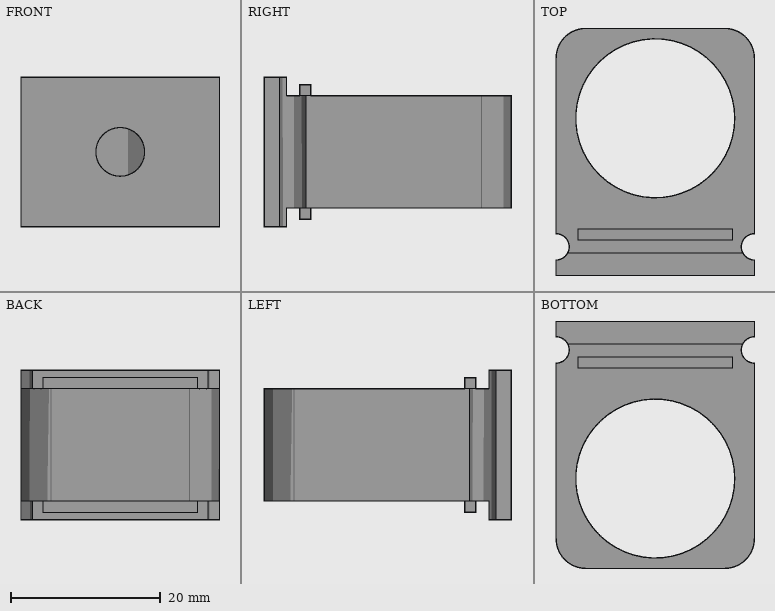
import cadquery as cq

width = 26.5
length = 33.0
plate_height = 20.0
plate_thickness = 3.0
body_height = 15.0
corner_radius = 4.0

bore_diameter = 21.2
bore_center_y = 21.0
screw_hole_diameter = 6.5

groove_radius = 1.75
groove_center_y = 3.83

rib_width = 20.6
rib_height = 18.0
rib_thickness = 1.5
rib_front_y = 4.75


def block(size_x, size_z, front_y, back_y):
    """Box centred on X and Z, spanning the given Y range."""
    depth = back_y - front_y
    return cq.Workplane("XY").box(size_x, depth, size_z).translate((0, front_y + depth / 2, 0))


def upright_cylinder(x, y, radius):
    """Cutter along Z that spans the full plate height."""
    return (
        cq.Workplane("XY", origin=(x, y, -plate_height / 2))
        .circle(radius)
        .extrude(plate_height)
    )


body = block(width, body_height, 0, length).edges("|Z and >Y").fillet(corner_radius)
plate = block(width, plate_height, 0, plate_thickness)
rib = block(rib_width, rib_height, rib_front_y, rib_front_y + rib_thickness)
holder = body.union(plate).union(rib)

holder = holder.cut(upright_cylinder(0, bore_center_y, bore_diameter / 2))

for side_x in (-width / 2, width / 2):
    holder = holder.cut(upright_cylinder(side_x, groove_center_y, groove_radius))

screw_hole = (
    cq.Workplane("XZ")
    .circle(screw_hole_diameter / 2)
    .extrude(-bore_center_y)
)

result = holder.cut(screw_hole)